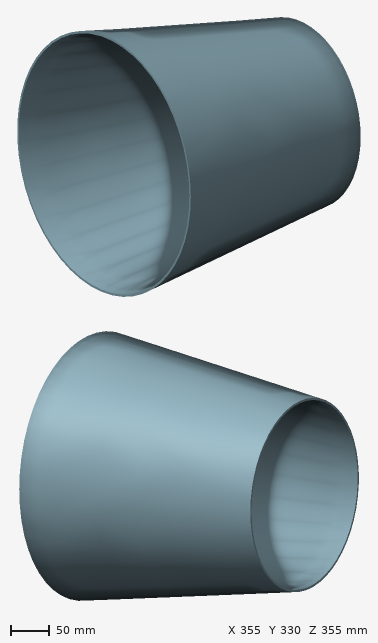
import cadquery as cq

large_outer_diameter = 355.0
small_outer_diameter = 256.0
wall_thickness = 3.0
length = 330.0

large_outer_radius = large_outer_diameter / 2
small_outer_radius = small_outer_diameter / 2
large_inner_radius = large_outer_radius - wall_thickness
small_inner_radius = small_outer_radius - wall_thickness


def conical_shell():
    """Revolve the wall section about the Y axis, with the large end at Y = 0."""
    wall_section = (
        cq.Workplane("XY")
        .moveTo(large_inner_radius, 0)
        .lineTo(large_outer_radius, 0)
        .lineTo(small_outer_radius, length)
        .lineTo(small_inner_radius, length)
        .close()
    )
    return wall_section.revolve(360, (0, 0, 0), (0, 1, 0))


result = conical_shell()